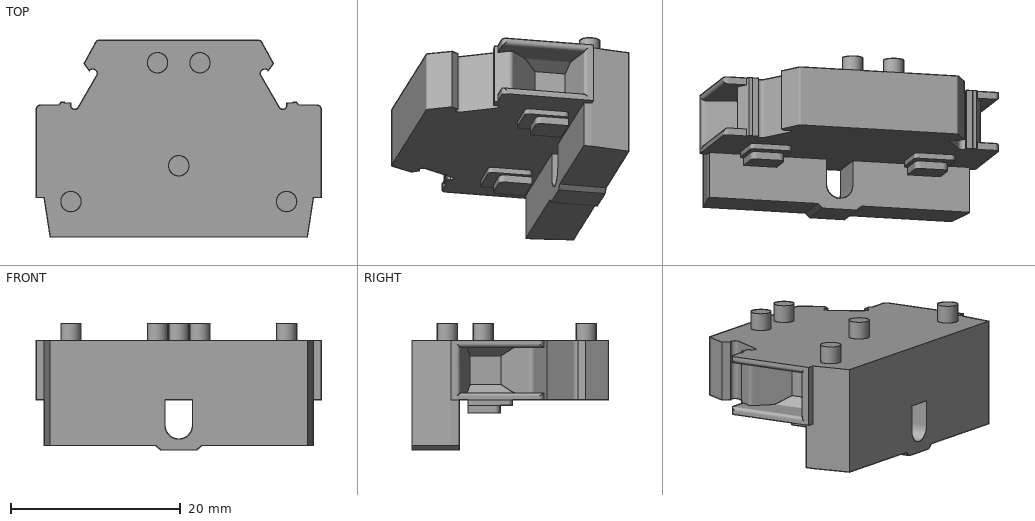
import cadquery as cq
import math

plate_height = 7.0
plate_half_width = 16.8
plate_depth = 23.2
wing_front_y = 4.65
wing_back_y = 15.58
wing_corner_radius = 0.55
nose_half_width = 15.15
step_half_width = 15.87

flank_tangent = math.tan(math.radians(60))
foot_half_width = 9.65
foot_tip_x = 11.16
foot_tip_y = 20.45
foot_corner_radius = 0.3
hook_lip = (10.54, 19.6)
hook_arc_mid = (9.8, 19.68)
hook_arc_end = (9.65, 19.1)
root_arc_start_y = 15.35
root_arc_mid = (12.3, 15.08)
root_arc_end = (12.7, 15.38)
bump_right_top_y = 15.83
bump_step_x = 13.45
bump_top_y = 15.92
bump_left_top_x = 13.88

flange_thickness = 0.84
mouth_fillet = 0.42
mouth_front_y = 5.66
mouth_front_slope = 0.22
funnel_start_back_y = 12.0
funnel_floor_back_y = 10.5
funnel_floor_z = 1.82
funnel_edge_radius = 0.4
divider_tip_y = 14.1
divider_tip_radius = 0.5
cut_margin = 1.0

block_depth = 5.6
block_height = 5.4
nub_height = 0.52
nub_top_half_width = 2.7
nub_bottom_half_width = 2.1
slot_width = 3.2
slot_bottom_z = -4.6

pin_radius = 1.2
pin_height = 2.02
pin_centres = [(-2.5, 20.55), (2.5, 20.55), (0, 8.42), (-12.7, 4.2), (12.7, 4.2)]

pad_inner_x = 7.5
pad_outer_x = 12.5
lower_pad_inset = 0.5
pad_front_y = 6.61
upper_pad_back_y = 11.88
upper_pad_bottom_z = -0.65
upper_pad_radius = 0.5
lower_pad_back_y = 10.45
lower_pad_bottom_z = -1.55
lower_pad_radius = 0.65


def left(point):
    """Place an (X distance from centre, Y) point on the left half."""
    return (-point[0], point[1])


def wing_flank_x(y):
    """X distance of the sloping bump flank, which also bounds the divider."""
    return bump_left_top_x + (bump_top_y - y) / flank_tangent


def mouth_wall_y(x):
    """Y of the front wall of the wire entry at an X distance from the centre."""
    return mouth_front_y + mouth_front_slope * (plate_half_width - x)


def plate_half():
    """Solid left half of the plate."""
    root_arc_start_x = hook_arc_end[0] + (hook_arc_end[1] - root_arc_start_y) / flank_tangent
    outline = (
        cq.Workplane("XY")
        .moveTo(0, 0)
        .lineTo(-nose_half_width, 0)
        .lineTo(-step_half_width, wing_front_y)
        .lineTo(-plate_half_width, wing_front_y)
        .lineTo(-plate_half_width, wing_back_y)
        .lineTo(-wing_flank_x(wing_back_y), wing_back_y)
        .lineTo(-bump_left_top_x, bump_top_y)
        .lineTo(-bump_step_x, bump_top_y)
        .lineTo(-bump_step_x, bump_right_top_y)
        .lineTo(-root_arc_end[0], bump_right_top_y)
        .lineTo(*left(root_arc_end))
        .threePointArc(left(root_arc_mid), (-root_arc_start_x, root_arc_start_y))
        .lineTo(*left(hook_arc_end))
        .threePointArc(left(hook_arc_mid), left(hook_lip))
        .lineTo(-foot_tip_x, foot_tip_y)
        .lineTo(-foot_half_width, plate_depth)
        .lineTo(0, plate_depth)
        .close()
    )
    half = outline.extrude(plate_height)
    return round_upright_edge(half, (-foot_half_width, plate_depth), foot_corner_radius)


def round_upright_edge(body, corner, radius):
    """Fillet the vertical edge of the body nearest to the corner."""
    near = cq.selectors.NearestToPointSelector((corner[0], corner[1], plate_height / 2))
    return body.edges("|Z").edges(near).fillet(radius)


def wire_entry():
    """Left wire entry: space between two flanges plus a tapered funnel.

    The back wall runs at 45 degrees from the divider tip down to the funnel floor.
    """
    opening_height = plate_height - 2 * flange_thickness
    outside_x = plate_half_width + cut_margin
    tip_x = wing_flank_x(divider_tip_y)
    start_x = tip_x - (divider_tip_y - funnel_start_back_y)
    floor_x = tip_x - (divider_tip_y - funnel_floor_back_y)
    start_front_y = mouth_wall_y(start_x)
    floor_front_y = mouth_wall_y(floor_x)
    opening = (
        cq.Workplane("XY", origin=(0, 0, flange_thickness))
        .moveTo(-outside_x, mouth_wall_y(outside_x))
        .lineTo(-start_x, start_front_y)
        .lineTo(-start_x, funnel_start_back_y)
        .lineTo(-tip_x, divider_tip_y)
        .lineTo(-bump_left_top_x, bump_top_y)
        .lineTo(-outside_x, bump_top_y)
        .close()
        .extrude(opening_height)
    )
    opening = round_upright_edge(opening, (-tip_x, divider_tip_y), divider_tip_radius)

    start_middle_y = (funnel_start_back_y + start_front_y) / 2
    floor_middle_y = (funnel_floor_back_y + floor_front_y) / 2
    funnel = (
        cq.Workplane("YZ", origin=(-start_x, start_middle_y, plate_height / 2))
        .rect(funnel_start_back_y - start_front_y, opening_height)
        .workplane(offset=start_x - floor_x)
        .center(floor_middle_y - start_middle_y, 0)
        .rect(funnel_floor_back_y - floor_front_y, plate_height - 2 * funnel_floor_z)
        .loft(ruled=True)
    )
    entry = opening.union(funnel, clean=True)
    for flange_z in (flange_thickness, plate_height - flange_thickness):
        near = cq.selectors.NearestToPointSelector((-start_x, start_middle_y, flange_z))
        entry = entry.edges("|Y").edges(near).fillet(funnel_edge_radius)
    return entry


def round_mouth(half):
    """Fillet the inner rim of the wire entry on the side face of the wing."""
    reach = 0.05
    side_rim = cq.selectors.BoxSelector(
        (-plate_half_width - reach, wing_front_y + reach, flange_thickness - reach),
        (-plate_half_width + reach, wing_back_y, plate_height - flange_thickness + reach),
    )
    return half.edges(side_rim).fillet(mouth_fillet)


def wings_and_foot():
    """Complete plate with both wire entries and rounded back corners on the wings."""
    square_half = plate_half()
    wing_corner = (-plate_half_width, wing_back_y)
    rounded_half = round_upright_edge(square_half, wing_corner, wing_corner_radius)
    half = round_mouth(square_half.cut(wire_entry())).intersect(rounded_half)
    return half.union(half.mirror("YZ"))


def front_block():
    """Block below the plate with its bottom nub and through slot."""
    block = (
        cq.Workplane("XY")
        .polyline([
            (-nose_half_width, 0),
            (-step_half_width, wing_front_y),
            (-step_half_width, block_depth),
            (step_half_width, block_depth),
            (step_half_width, wing_front_y),
            (nose_half_width, 0),
        ])
        .close()
        .extrude(-block_height)
    )
    nub = (
        cq.Workplane("XZ")
        .polyline([
            (-nub_top_half_width, -block_height),
            (-nub_bottom_half_width, -block_height - nub_height),
            (nub_bottom_half_width, -block_height - nub_height),
            (nub_top_half_width, -block_height),
        ])
        .close()
        .extrude(-block_depth)
    )
    slot_radius = slot_width / 2
    slot_round_z = slot_bottom_z + slot_radius
    slot = (
        cq.Workplane("XZ")
        .moveTo(-slot_radius, 0)
        .lineTo(-slot_radius, slot_round_z)
        .threePointArc((0, slot_bottom_z), (slot_radius, slot_round_z))
        .lineTo(slot_radius, 0)
        .close()
        .extrude(-block_depth)
    )
    return block.union(nub).cut(slot)


def pad(inset, back_y, bottom_z):
    """Rectangular pad on the left, from the plate underside down to bottom_z.

    The inset narrows the pad on its inner and outer sides.
    """
    size_x = pad_outer_x - pad_inner_x - 2 * inset
    size_y = back_y - pad_front_y
    return cq.Workplane("XY").box(size_x, size_y, -bottom_z, centered=False).translate(
        (inset - pad_outer_x, pad_front_y, bottom_z)
    )


def stepped_pads():
    """Two-step pads under both wings."""
    upper = pad(0, upper_pad_back_y, upper_pad_bottom_z)
    upper = upper.edges("|Z").fillet(upper_pad_radius)
    lower = pad(lower_pad_inset, lower_pad_back_y, lower_pad_bottom_z)
    lower = lower.edges("|Z and >Y").fillet(lower_pad_radius)
    pads = upper.union(lower)
    return pads.union(pads.mirror("YZ"))


def pins():
    """Locating pins on the top face."""
    return (
        cq.Workplane("XY", origin=(0, 0, plate_height))
        .pushPoints(pin_centres)
        .circle(pin_radius)
        .extrude(pin_height)
    )


result = wings_and_foot().union(front_block()).union(stepped_pads()).union(pins())